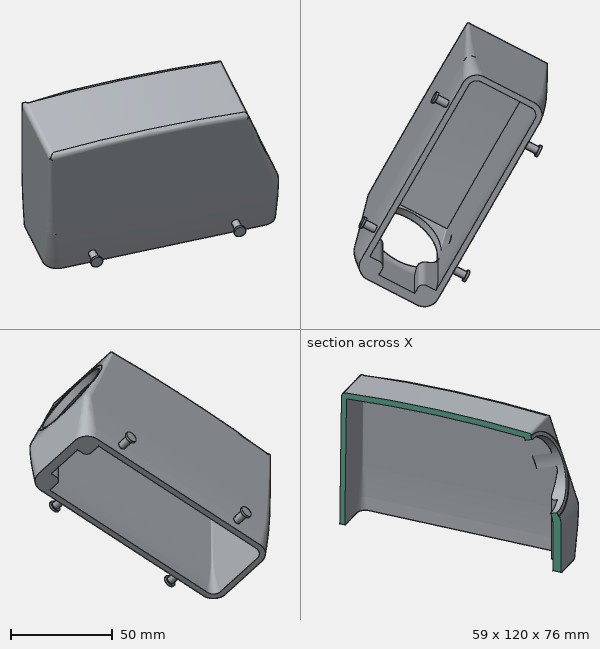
import cadquery as cq
import math

LENGTH = 120.0
TOP_HEIGHT = 76.0
HALF_LENGTH = LENGTH / 2
FRONT_LEAN = 1.0
FRONT_DRAFT = FRONT_LEAN / TOP_HEIGHT

MAX_HALF_WIDTH = 22.7
SKIRT_HALF_WIDTH = 22.15
BASE_HALF_WIDTH = 21.5
SKIRT_HEIGHT = 6.9
SIDE_BEND_HEIGHT = 23.5
SWELL_HEIGHT = (SKIRT_HEIGHT + SIDE_BEND_HEIGHT) / 2

SLOPE_ANGLE = math.radians(20.0)
KINK_HEIGHT = 28.5
BEND_TANGENT = 1.7
BEND_START = KINK_HEIGHT - BEND_TANGENT
BEND_END = KINK_HEIGHT + BEND_TANGENT * math.cos(SLOPE_ANGLE)
BEND_RADIUS = BEND_TANGENT / math.tan(SLOPE_ANGLE / 2)
LOFT_TOP = 78.0

BASE_CORNER = 7.6
SKIRT_CORNER = 6.5
SWELL_FRONT_CORNER = 5.1
SWELL_REAR_CORNER = 4.7
BEND_FRONT_CORNER = 4.0
BEND_REAR_CORNER = 3.5
KINK_CORNER = 3.3
MIDDLE_CORNER = 2.5
TOP_CORNER = 1.4
MIDDLE_HEIGHT = 45.0

ROOF_SAG = 1.9
ROOF_HALF_SPAN = 50.0
ROOF_CENTRE_Y = -7.2
ROOF_FILLET = 2.9
REAR_ROOF_FILLET = 1.7

WALL = 3.0
ENTRY_WALL = 4.8
ROOF_WALL = 3.5
MIN_INNER_CORNER = 0.5
PILLAR_FACE_Y = 48.9
PILLAR_GAP = 20.0
PILLAR_FILLET = 3.0

ENTRY_DIAMETER = 40.0
ENTRY_DEPTH = 16.0
SPOTFACE_DIAMETER = 44.0
SPOTFACE_DEPTH = 0.45
ENTRY_CENTRE_Y = 51.4

PEG_SPAN = 59.0
PEG_Y = 37.0
PEG_HEIGHT = 6.2
PEG_DIAMETER = 4.0
PEG_HEAD_DIAMETER = 6.0
PEG_HEAD_THICKNESS = 1.2
PEG_EMBED = 1.5


def slope_y(z):
    """Y of the sloped rear plane at height z."""
    return HALF_LENGTH - (z - KINK_HEIGHT) * math.tan(SLOPE_ANGLE)


def rear_y(z):
    """Y of the rear wall at height z: upright, then a tangent bend, then the slope."""
    if z <= BEND_START:
        return HALF_LENGTH
    if z >= BEND_END:
        return slope_y(z)
    return HALF_LENGTH - BEND_RADIUS + math.sqrt(BEND_RADIUS**2 - (z - BEND_START) ** 2)


def front_y(z):
    """Y of the slightly leaning front plane at height z."""
    return -HALF_LENGTH + FRONT_DRAFT * z


def inner_corner(corner, wall):
    """Corner radius left after moving the outline inwards by a wall thickness."""
    return max(corner - wall, MIN_INNER_CORNER)


def end_section(z, half_width, corner, end_y):
    """Rectangle at height z from the middle of the hood to one end, with that end's corners rounded."""
    end_corners = ">Y" if end_y > 0 else "<Y"
    outline = cq.Sketch().rect(2 * half_width, abs(end_y)).vertices(end_corners).fillet(corner)
    return outline.moved(cq.Location(cq.Vector(0, end_y / 2, z)))


def full_section(z, half_width, front_corner, rear_corner, wall, rear_wall):
    """Rounded rectangle at height z, moved inwards by the wall thicknesses."""
    front = front_y(z) + wall
    rear = rear_y(z) - rear_wall
    outline = (
        cq.Sketch()
        .rect(2 * (half_width - wall), rear - front)
        .vertices("<Y")
        .fillet(inner_corner(front_corner, wall))
        .reset()
        .vertices(">Y")
        .fillet(inner_corner(rear_corner, wall))
    )
    return outline.moved(cq.Location(cq.Vector(0, (rear + front) / 2, z)))


def loft_stage(sections):
    """Smooth solid through a stack of sections."""
    return cq.Workplane("XY").placeSketch(*sections).loft()


def lower_hood(wall, rear_wall):
    """Base of the hood, whose side walls swell outwards up to the side bend."""
    swell_half_width = MAX_HALF_WIDTH - (MAX_HALF_WIDTH - SKIRT_HALF_WIDTH) * 0.5**2
    levels = (
        (0, BASE_HALF_WIDTH, BASE_CORNER, BASE_CORNER),
        (SKIRT_HEIGHT, SKIRT_HALF_WIDTH, SKIRT_CORNER, SKIRT_CORNER),
        (SWELL_HEIGHT, swell_half_width, SWELL_FRONT_CORNER, SWELL_REAR_CORNER),
        (SIDE_BEND_HEIGHT, MAX_HALF_WIDTH, BEND_FRONT_CORNER, BEND_REAR_CORNER),
    )
    base, skirt, swell, bend = [full_section(*level, wall, rear_wall) for level in levels]
    return loft_stage([base, skirt]).union(loft_stage([skirt, swell, bend]))


def upper_front(wall):
    """Front half above the side bend."""

    def front_section(z, corner):
        return end_section(z, MAX_HALF_WIDTH - wall, inner_corner(corner, wall), front_y(z) + wall)

    side_bend = front_section(SIDE_BEND_HEIGHT, BEND_FRONT_CORNER)
    middle = front_section(MIDDLE_HEIGHT, MIDDLE_CORNER)
    return loft_stage([side_bend, middle, front_section(LOFT_TOP, TOP_CORNER)])


def upper_rear(wall, rear_wall):
    """Rear half above the side bend: upright wall, bend and slope."""

    def rear_section(z, corner):
        return end_section(z, MAX_HALF_WIDTH - wall, inner_corner(corner, wall), rear_y(z) - rear_wall)

    bend_middle = BEND_START + BEND_RADIUS * math.sin(SLOPE_ANGLE / 2)
    side_bend = rear_section(SIDE_BEND_HEIGHT, BEND_REAR_CORNER)
    bend_start = rear_section(BEND_START, KINK_CORNER)
    bend_end = rear_section(BEND_END, KINK_CORNER)
    upright = loft_stage([side_bend, bend_start])
    bend = loft_stage([bend_start, rear_section(bend_middle, KINK_CORNER), bend_end])
    slope = loft_stage([bend_end, rear_section(LOFT_TOP, TOP_CORNER)])
    return upright.union(bend).union(slope)


def hood_shape(wall=0.0, rear_wall=0.0):
    """Hood without its roof arch; a wall thickness gives the matching inner shape."""
    upper = upper_front(wall).union(upper_rear(wall, rear_wall))
    return lower_hood(wall, rear_wall).union(upper).clean()


def under_arch(drop=0.0):
    """Block below the roof arch, lowered by drop and reaching past both ends of the hood."""
    radius = (ROOF_HALF_SPAN**2 + ROOF_SAG**2) / (2 * ROOF_SAG)
    arch_centre = (ROOF_CENTRE_Y, TOP_HEIGHT - drop - radius)
    cylinder = (
        cq.Workplane("YZ").center(*arch_centre).circle(radius).extrude(MAX_HALF_WIDTH, both=True)
    )
    slab = cq.Workplane("XY").box(2 * MAX_HALF_WIDTH, 2 * LENGTH, 2 * TOP_HEIGHT)
    return cylinder.intersect(slab)


def roof_envelope():
    """Everything inside the rounded roof edges."""
    sharp_block = under_arch()
    arch_block = sharp_block.faces("%CYLINDER").edges("%CIRCLE").fillet(ROOF_FILLET)
    wedge = (
        cq.Workplane("YZ")
        .moveTo(front_y(0), 0)
        .lineTo(front_y(LOFT_TOP), LOFT_TOP)
        .lineTo(slope_y(LOFT_TOP), LOFT_TOP)
        .lineTo(slope_y(0), 0)
        .close()
        .extrude(MAX_HALF_WIDTH, both=True)
        .intersect(sharp_block)
        .faces("%CYLINDER")
        .edges("<Y")
        .fillet(ROOF_FILLET)
        .faces("%CYLINDER")
        .faces(">Z")
        .edges(">Y")
        .fillet(REAR_ROOF_FILLET)
    )
    return wedge.intersect(arch_block)


def inner_cavity():
    """Hollow inside the walls, with two screw pillars left standing at the rear."""
    cavity = hood_shape(WALL, ENTRY_WALL).intersect(under_arch(ROOF_WALL))
    pillar_width = MAX_HALF_WIDTH - PILLAR_GAP / 2
    for side in (-1, 1):
        pillar = (
            cq.Workplane("XY")
            .box(pillar_width, HALF_LENGTH - PILLAR_FACE_Y, TOP_HEIGHT, centered=(True, False, False))
            .translate((side * (PILLAR_GAP + pillar_width) / 2, PILLAR_FACE_Y, 0))
        )
        inner_side = "<X" if side > 0 else ">X"
        inner_edge = pillar.faces(inner_side).edges("<Y")
        cavity = cavity.cut(inner_edge.fillet(PILLAR_FILLET))
    return cavity


def cable_entry():
    """Stepped cylinder along the normal of the sloped wall."""
    entry_z = KINK_HEIGHT + (HALF_LENGTH - ENTRY_CENTRE_Y) / math.tan(SLOPE_ANGLE)
    normal = (0, math.cos(SLOPE_ANGLE), math.sin(SLOPE_ANGLE))
    plane = cq.Plane(origin=(0, ENTRY_CENTRE_Y, entry_z), xDir=(1, 0, 0), normal=normal)
    bore = cq.Workplane(plane).workplane(offset=-ENTRY_DEPTH).circle(ENTRY_DIAMETER / 2)
    bore = bore.extrude(ENTRY_DEPTH)
    spotface = cq.Workplane(plane).workplane(offset=-SPOTFACE_DEPTH)
    spotface = spotface.circle(SPOTFACE_DIAMETER / 2).extrude(ENTRY_DEPTH)
    return bore.union(spotface)


def peg(side, y):
    """Headed locking peg on one side wall (side is -1 or 1)."""
    head_face = cq.Workplane("YZ", origin=(side * PEG_SPAN / 2, 0, 0)).center(y, PEG_HEIGHT)
    shaft_end = SKIRT_HALF_WIDTH - PEG_EMBED
    shaft = head_face.circle(PEG_DIAMETER / 2).extrude(-side * (PEG_SPAN / 2 - shaft_end))
    head = head_face.circle(PEG_HEAD_DIAMETER / 2).extrude(-side * PEG_HEAD_THICKNESS)
    return shaft.union(head)


result = hood_shape().intersect(roof_envelope()).cut(inner_cavity()).cut(cable_entry())
for side in (-1, 1):
    for y in (-PEG_Y, PEG_Y):
        result = result.union(peg(side, y))